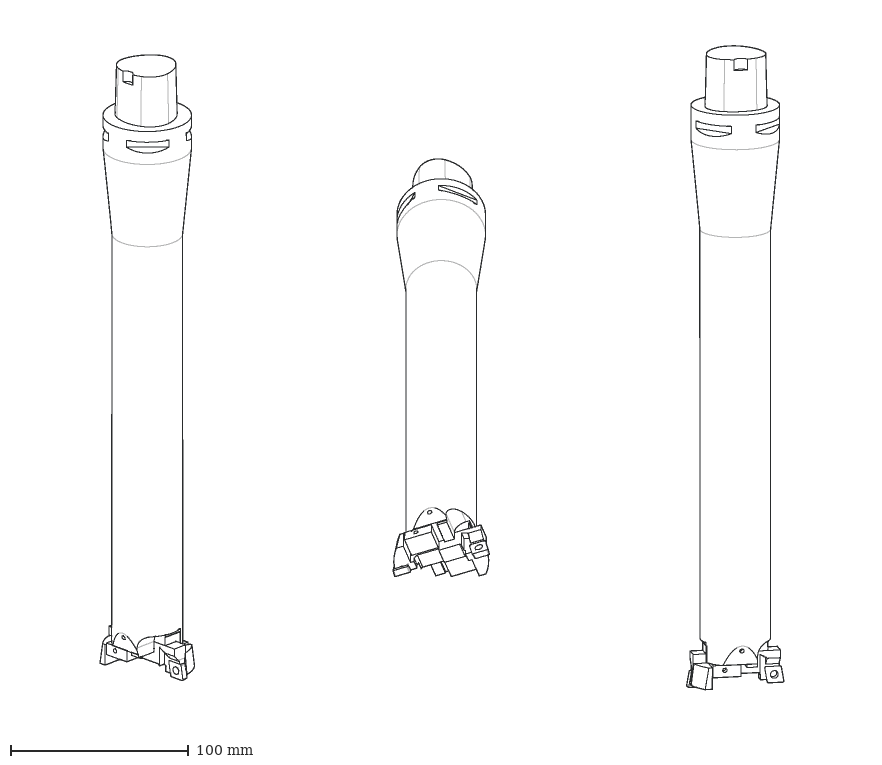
import cadquery as cq
import math

TOTAL_HEIGHT = 366.0
SHANK_LENGTH = 30.0
FLANGE_HEIGHT = 20.0
TAPER_LENGTH = 52.0
FLANGE_TOP = TOTAL_HEIGHT - SHANK_LENGTH
FLANGE_BOTTOM = FLANGE_TOP - FLANGE_HEIGHT
TAPER_BOTTOM = FLANGE_BOTTOM - TAPER_LENGTH
BAR_BOTTOM = 15.5

FLANGE_DIAMETER = 50.0
BAR_DIAMETER = 40.0
FLANGE_RADIUS = FLANGE_DIAMETER / 2
BAR_RADIUS = BAR_DIAMETER / 2

LOBE_REACH = 18.3
FLAT_REACH = 16.7
LOBE_CENTRE = 4.9
SHANK_SIDE_SLOPE = 1 / 40
SHANK_TAPER = math.degrees(math.atan(SHANK_SIDE_SLOPE))
KEYWAY_RADIUS = 4.2
KEYWAY_CENTRE = 17.4
KEYWAY_DEPTH = 6.2

GROOVE_FLOOR = 21.9
GROOVE_TOP = FLANGE_TOP - 6.5
GROOVE_FLAT_HEIGHT = 4.2
GROOVE_RAMP_HEIGHT = 2.4
GROOVE_ANGLES = (45, 135, 225, 315)

POCKET_TOP = 27.0
FACET_REACH = 17.0
COOLANT_DIAMETER = 2.4
COOLANT_HEIGHT = 24.0
COOLANT_DEPTH = 6.0
SCOOP_WALL = 9.3
SCOOP_RADIUS = 7.0
RECESS_SIDE = 8.0
RECESS_FLOOR = 17.9
RECESS_STEP_FLOOR = 18.4
RECESS_STEP_HEIGHT = 2.0
PAD_INNER = 3.5
PAD_REACH = 16.5
PAD_BOTTOM = 13.6

SLIDE_FRONT = -4.0
SLIDE_BACK = 5.0
SLIDE_TOP = 19.8
SLIDE_END = 25.2
BRIDGE_BOTTOM = 7.2
LEG_INNER = 14.5
LEG_OUTER = 26.4
LEG_BOTTOM = 2.0
LEG_CHAMFER = 2.0
LEG_FLARE_TOP = 12.0
SUPPORT_TOP = 14.5
SUPPORT_INNER = 16.6
SUPPORT_TOP_RADIUS = 25.2
SUPPORT_BOTTOM_RADIUS = 26.8
SUPPORT_BACK = 17.0
PLATE_BACK = 16.5
PLATE_LENGTH = 16.0
PLATE_BOTTOM = 8.5
PLATE_HOLE_DIAMETER = 2.4
PLATE_HOLE_HEIGHT = 12.6
PLATE_HOLE_DEPTH = 4.0
GULLET_INNER = 13.5
GULLET_FRONT_HEIGHT = 15.3
GULLET_BACK_HEIGHT = 11.0
GULLET_CORNER_HEIGHT = 17.6
GULLET_CORNER_WIDTH = 4.0

TIP_REACH = 55.98 / 2
INSERT_CIRCLE = 9.525
INSERT_ANGLE = 80.0
INSERT_THICKNESS = 3.97
INSERT_CLEARANCE = 7.0
INSERT_NOSE = 0.8
INSERT_HOLE = 4.4

SIDES = (0, 180)
FAR = 40.0


def block(x_range, y_range, z_range):
    """Box between the given limits."""
    size = [high - low for low, high in (x_range, y_range, z_range)]
    corner = (x_range[0], y_range[0], z_range[0])
    return cq.Workplane("XY").box(*size, centered=False).translate(corner)


def turned(body, angle):
    """Copy of a body turned about the tool axis."""
    return body.rotate((0, 0, 0), (0, 0, 1), angle)


def polar(radius, degrees):
    return (radius * math.cos(math.radians(degrees)), radius * math.sin(math.radians(degrees)))


def make_shank():
    """Six tangent arcs: three tight lobes joined by three wide flanks."""
    drop = LOBE_REACH - FLAT_REACH
    flank_centre = (2 * drop * LOBE_CENTRE - drop**2) / (LOBE_CENTRE - 2 * drop)
    flank_radius = FLAT_REACH + flank_centre
    lobe_x, lobe_y = polar(LOBE_CENTRE, -30)
    slope = math.atan2(lobe_y - flank_centre, lobe_x)
    joint_x = flank_radius * math.cos(slope)
    joint_y = flank_centre + flank_radius * math.sin(slope)
    joint_radius = math.hypot(joint_x, joint_y)
    joint_offset = math.degrees(math.atan2(joint_y, joint_x)) + 90
    outline = cq.Workplane("XY").workplane(offset=FLANGE_TOP)
    outline = outline.moveTo(*polar(joint_radius, -90 - joint_offset))
    for flank_angle in (-90, 30, 150):
        flank_end = polar(joint_radius, flank_angle + joint_offset)
        lobe_end = polar(joint_radius, flank_angle + 120 - joint_offset)
        outline = outline.threePointArc(polar(FLAT_REACH, flank_angle), flank_end)
        outline = outline.threePointArc(polar(LOBE_REACH, flank_angle + 60), lobe_end)
    shank = outline.close().extrude(SHANK_LENGTH, taper=SHANK_TAPER)
    keyway = (
        cq.Workplane("XY")
        .workplane(offset=TOTAL_HEIGHT - KEYWAY_DEPTH)
        .center(0, -KEYWAY_CENTRE)
        .circle(KEYWAY_RADIUS)
        .extrude(KEYWAY_DEPTH)
    )
    return shank.cut(keyway)


def make_turned_body():
    return (
        cq.Workplane("XZ")
        .moveTo(0, BAR_BOTTOM)
        .lineTo(BAR_RADIUS, BAR_BOTTOM)
        .lineTo(BAR_RADIUS, TAPER_BOTTOM)
        .lineTo(FLANGE_RADIUS, FLANGE_BOTTOM)
        .lineTo(FLANGE_RADIUS, FLANGE_TOP)
        .lineTo(0, FLANGE_TOP)
        .close()
        .revolve(360, (0, 0), (0, 1))
    )


def make_gripper_groove():
    """Flat-floored groove whose lower side ramps out to the flange."""
    flat_bottom = GROOVE_TOP - GROOVE_FLAT_HEIGHT
    return (
        cq.Workplane("XZ")
        .moveTo(GROOVE_FLOOR, GROOVE_TOP)
        .lineTo(FLANGE_RADIUS, GROOVE_TOP)
        .lineTo(FLANGE_RADIUS, flat_bottom - GROOVE_RAMP_HEIGHT)
        .lineTo(GROOVE_FLOOR, flat_bottom)
        .close()
        .extrude(FLANGE_RADIUS, both=True)
    )


def make_facet_cut():
    """Wedge that slopes the -Y side of the bar inward toward its end face."""
    return (
        cq.Workplane("YZ")
        .moveTo(-BAR_RADIUS, POCKET_TOP)
        .lineTo(-FACET_REACH, BAR_BOTTOM)
        .lineTo(-BAR_RADIUS, BAR_BOTTOM)
        .close()
        .extrude(BAR_RADIUS, both=True)
    )


def make_coolant_hole():
    return (
        cq.Workplane("XZ", origin=(0, -BAR_RADIUS, COOLANT_HEIGHT))
        .circle(COOLANT_DIAMETER / 2)
        .extrude(-COOLANT_DEPTH)
    )


def make_slide_seat():
    """Chip scoop, recess and slide notch on the +X side of the bar."""
    scoop = block((SCOOP_WALL, FAR), (-FAR, SLIDE_FRONT), (BAR_BOTTOM, POCKET_TOP))
    scoop = scoop.edges("|Y and <X and >Z").fillet(SCOOP_RADIUS)
    step_bottom = POCKET_TOP - RECESS_STEP_HEIGHT
    step = block((RECESS_STEP_FLOOR, FAR), (SLIDE_FRONT, RECESS_SIDE), (step_bottom, POCKET_TOP))
    recess = block((RECESS_FLOOR, FAR), (SLIDE_FRONT, RECESS_SIDE), (BAR_BOTTOM, step_bottom))
    notch = block((SCOOP_WALL, FAR), (SLIDE_FRONT, SLIDE_BACK), (BAR_BOTTOM, SLIDE_TOP))
    return scoop.union(step).union(recess).union(notch)


def make_end_pad():
    """Low pad on the bar's end face, flush with the chip scoop."""
    return block((PAD_INNER, SCOOP_WALL), (-PAD_REACH, SLIDE_FRONT), (PAD_BOTTOM, BAR_BOTTOM))


def make_holder():
    holder = make_turned_body().union(make_shank())
    for angle in SIDES:
        holder = holder.union(turned(make_end_pad(), angle))
    for angle in GROOVE_ANGLES:
        holder = holder.cut(turned(make_gripper_groove(), angle))
    for angle in SIDES:
        for cutter in (make_facet_cut(), make_coolant_hole(), make_slide_seat()):
            holder = holder.cut(turned(cutter, angle))
    return holder


def make_insert_blank():
    """Solid round-cornered rhombus that narrows away from its rake face, and its centre."""
    half_angle = math.radians(INSERT_ANGLE / 2)
    inner_radius = INSERT_CIRCLE / 2
    sharp_tip = TIP_REACH + INSERT_NOSE * (1 / math.tan(half_angle) - 1)
    side = INSERT_CIRCLE / math.sin(2 * half_angle)
    lean = side * math.cos(2 * half_angle)
    lower_right = (sharp_tip, 0)
    upper_right = (sharp_tip - lean, INSERT_CIRCLE)
    upper_left = (sharp_tip - lean - side, INSERT_CIRCLE)
    lower_left = (sharp_tip - side, 0)
    corners = [lower_right, upper_right, upper_left, lower_left]
    sketch = cq.Sketch().polygon(corners + [lower_right]).vertices().fillet(INSERT_NOSE)
    blank = cq.Workplane("XZ").placeSketch(sketch).extrude(-INSERT_THICKNESS, taper=INSERT_CLEARANCE)
    centre = (sharp_tip - inner_radius / math.tan(half_angle), inner_radius)
    return blank, centre


def make_insert():
    blank, (centre_x, centre_z) = make_insert_blank()
    hole = (
        cq.Workplane("XZ", origin=(centre_x, 0, centre_z))
        .circle(INSERT_HOLE / 2)
        .extrude(-INSERT_THICKNESS)
    )
    return blank.cut(hole)


def make_slide():
    """Upright with a chip gullet and an insert pocket, a back plate and an insert support."""
    insert_blank, _ = make_insert_blank()
    upright = (
        cq.Workplane("XZ", origin=(0, SLIDE_FRONT, 0))
        .moveTo(0, BRIDGE_BOTTOM)
        .lineTo(LEG_INNER - LEG_CHAMFER, BRIDGE_BOTTOM)
        .lineTo(LEG_INNER, BRIDGE_BOTTOM - LEG_CHAMFER)
        .lineTo(LEG_INNER, LEG_BOTTOM)
        .lineTo(LEG_OUTER, LEG_BOTTOM)
        .lineTo(SLIDE_END, LEG_FLARE_TOP)
        .lineTo(SLIDE_END, SLIDE_TOP)
        .lineTo(SCOOP_WALL, SLIDE_TOP)
        .lineTo(SCOOP_WALL, BAR_BOTTOM)
        .lineTo(0, BAR_BOTTOM)
        .close()
        .extrude(SLIDE_FRONT - SLIDE_BACK)
    )
    gullet = (
        cq.Workplane("YZ", origin=(GULLET_INNER, 0, 0))
        .moveTo(SLIDE_FRONT, GULLET_FRONT_HEIGHT)
        .lineTo(0, GULLET_BACK_HEIGHT)
        .lineTo(0, 0)
        .lineTo(SLIDE_FRONT, 0)
        .close()
        .extrude(FAR)
    )
    gullet_corner = (
        cq.Workplane("XZ")
        .moveTo(GULLET_INNER, GULLET_BACK_HEIGHT)
        .lineTo(GULLET_INNER, GULLET_CORNER_HEIGHT)
        .lineTo(GULLET_INNER + GULLET_CORNER_WIDTH, GULLET_FRONT_HEIGHT)
        .lineTo(GULLET_INNER + GULLET_CORNER_WIDTH, GULLET_BACK_HEIGHT)
        .close()
        .extrude(-SLIDE_FRONT)
    )
    plate = block((0, PLATE_LENGTH), (SLIDE_BACK, PLATE_BACK), (PLATE_BOTTOM, BAR_BOTTOM))
    plate_hole = (
        cq.Workplane("XZ", origin=(SCOOP_WALL, PLATE_BACK, PLATE_HOLE_HEIGHT))
        .circle(PLATE_HOLE_DIAMETER / 2)
        .extrude(PLATE_HOLE_DEPTH)
    )
    plate = plate.cut(plate_hole)
    cone = (
        cq.Workplane("XZ")
        .moveTo(0, LEG_BOTTOM)
        .lineTo(SUPPORT_BOTTOM_RADIUS, LEG_BOTTOM)
        .lineTo(SUPPORT_TOP_RADIUS, SUPPORT_TOP)
        .lineTo(0, SUPPORT_TOP)
        .close()
        .revolve(360, (0, 0), (0, 1))
    )
    support_limits = block((SUPPORT_INNER, FAR), (INSERT_THICKNESS, SUPPORT_BACK), (LEG_BOTTOM, SUPPORT_TOP))
    support = cone.intersect(support_limits)
    slide = upright.cut(gullet).cut(gullet_corner)
    return slide.union(plate).union(support).cut(insert_blank)


holder = make_holder()
slides = [turned(make_slide(), angle) for angle in SIDES]
inserts = [turned(make_insert(), angle) for angle in SIDES]

result = cq.Compound.makeCompound([holder.val(), *[body.val() for body in slides + inserts]])